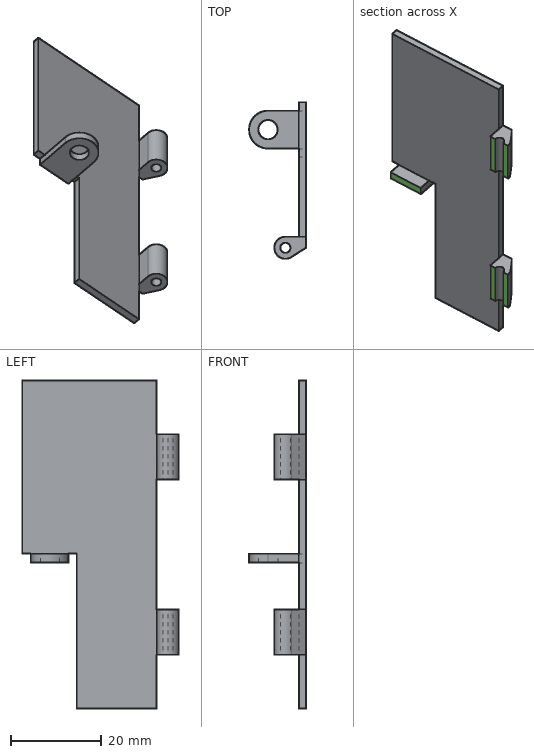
import cadquery as cq
import math

plate_height = 72.85
plate_thickness = 1.6
plate_width = 29.9
notch_width = 12.1
notch_height = 34.4

tab_radius = 4.2
tab_thickness = 2.0
tab_hole_diameter = 4.2
tab_hole_x = -8.45
tab_edge_distance = 6.1

knuckle_radius = 2.5
knuckle_length = 10.05
knuckle_hole_diameter = 2.2
knuckle_axis_x = -4.6
knuckle_end_distance = 11.95


def make_plate():
    """L-shaped plate with its straight edge on Y = 0."""
    return (
        cq.Workplane("YZ")
        .moveTo(0, 0)
        .lineTo(plate_width - notch_width, 0)
        .lineTo(plate_width - notch_width, notch_height)
        .lineTo(plate_width, notch_height)
        .lineTo(plate_width, plate_height)
        .lineTo(0, plate_height)
        .close()
        .extrude(-plate_thickness)
    )


def make_tab():
    """Round-ended tab running under the full thickness of the plate."""
    tab_y = plate_width - tab_edge_distance
    base = cq.Workplane("XY").workplane(offset=notch_height - tab_thickness)
    body = (
        base.moveTo(0, tab_y - tab_radius)
        .lineTo(0, tab_y + tab_radius)
        .lineTo(tab_hole_x, tab_y + tab_radius)
        .threePointArc((tab_hole_x - tab_radius, tab_y), (tab_hole_x, tab_y - tab_radius))
        .close()
        .extrude(tab_thickness)
    )
    hole = base.center(tab_hole_x, tab_y).circle(tab_hole_diameter / 2).extrude(tab_thickness)
    return body.cut(hole)


def make_knuckle(bottom_z):
    """Hinge barrel whose lower flank runs tangentially to the back face."""
    axis_y = -knuckle_radius
    tangent_angle = math.acos(knuckle_radius / -knuckle_axis_x)
    tangent_point = (
        knuckle_axis_x + knuckle_radius * math.cos(tangent_angle),
        axis_y - knuckle_radius * math.sin(tangent_angle),
    )
    base = cq.Workplane("XY").workplane(offset=bottom_z)
    body = (
        base.moveTo(knuckle_axis_x, 0)
        .lineTo(0, 0)
        .lineTo(0, axis_y)
        .lineTo(*tangent_point)
        .threePointArc((knuckle_axis_x - knuckle_radius, axis_y), (knuckle_axis_x, 0))
        .close()
        .extrude(knuckle_length)
    )
    hole = (
        base.center(knuckle_axis_x, axis_y)
        .circle(knuckle_hole_diameter / 2)
        .extrude(knuckle_length)
    )
    return body.cut(hole)


result = make_plate().union(make_tab())
upper_knuckle_z = plate_height - knuckle_end_distance - knuckle_length
for knuckle_z in (knuckle_end_distance, upper_knuckle_z):
    result = result.union(make_knuckle(knuckle_z))